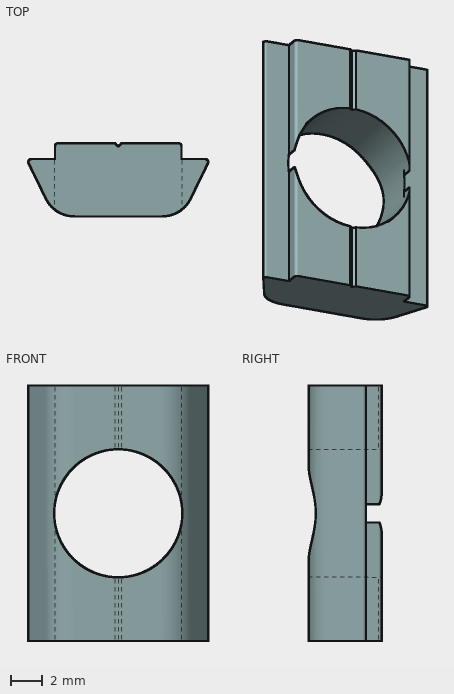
import cadquery as cq
import math

length = 16.0
width = 11.26
depth = 4.6
neck_width = 7.92
neck_height = 1.0
flank_angle = 64.0
front_radius = 2.0
edge_radius = 0.2
hole_diameter = 8.0
notch_depth = 0.2

front_y = -depth / 2
back_y = depth / 2
shoulder_y = back_y - neck_height

corner_overhang = edge_radius * (math.tan(math.radians(90 - flank_angle / 2)) - 1)
flange_half = width / 2 + corner_overhang
flank_run = (shoulder_y - front_y) / math.tan(math.radians(flank_angle))
front_half = flange_half - flank_run
neck_half = neck_width / 2


def edges_at(half_width, y):
    """Select the pair of lengthwise edges at +/- half_width and y."""
    margin = 0.02
    left = cq.selectors.BoxSelector(
        (-half_width - margin, y - margin, -length),
        (-half_width + margin, y + margin, length),
    )
    right = cq.selectors.BoxSelector(
        (half_width - margin, y - margin, -length),
        (half_width + margin, y + margin, length),
    )
    return left + right


def make_body():
    """Extrude the profile and round its lengthwise edges."""
    outline = [
        (-front_half, front_y),
        (front_half, front_y),
        (flange_half, shoulder_y),
        (neck_half, shoulder_y),
        (neck_half, back_y),
        (-neck_half, back_y),
        (-neck_half, shoulder_y),
        (-flange_half, shoulder_y),
    ]
    body = cq.Workplane("XY").polyline(outline).close().extrude(length / 2, both=True)
    body = body.edges(edges_at(front_half, front_y)).fillet(front_radius)
    body = body.edges(edges_at(flange_half, shoulder_y)).fillet(edge_radius)
    return body.edges(edges_at(neck_half, back_y)).fillet(edge_radius)


def make_notch():
    """V groove along the middle of the neck's back face."""
    corners = [(-notch_depth, back_y), (0, back_y - notch_depth), (notch_depth, back_y)]
    return cq.Workplane("XY").polyline(corners).close().extrude(length / 2, both=True)


def make_hole():
    """Through hole from front to back, wide enough to split the neck."""
    return cq.Workplane("XZ").circle(hole_diameter / 2).extrude(depth, both=True)


result = make_body().cut(make_notch()).cut(make_hole())